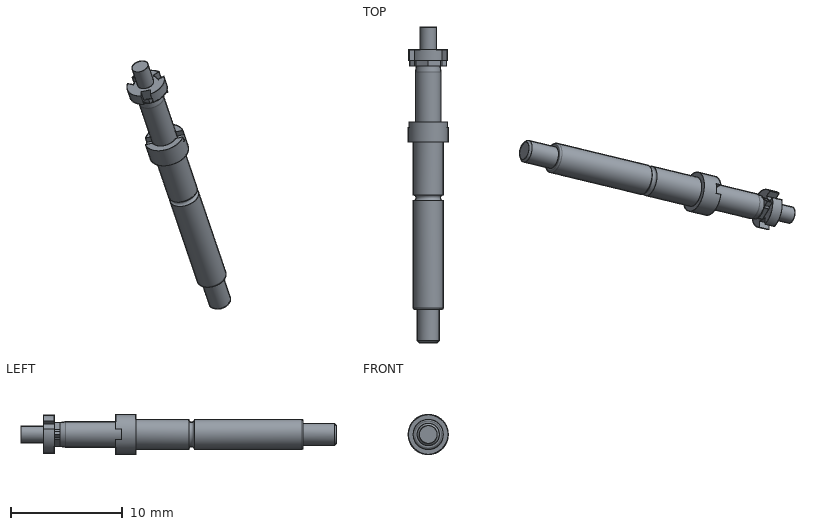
import cadquery as cq
import math

total_length = 28.3
thin_end_station = 2.0
disc_end_station = 3.0
head_end_station = 3.5
neck_end_station = 4.0
collar_start_station = 8.5
collar_end_station = 10.3
groove_middle_station = 15.3
barrel_end_station = 25.3

thin_end_radius = 0.75
disc_radius = 1.75
neck_radius = 1.08
shank_radius = 1.15
collar_radius = 1.8
barrel_radius = 1.35
tip_radius = 1.0

groove_round = 0.25
barrel_fillet = 0.15
tip_chamfer = 0.2

notch_angles = (30, 150, 270)
notch_width = 0.87
notch_floor_radius = 1.09

flat_slope = math.tan(math.radians(30))
step_slope = math.tan(math.radians(60))
head_half_height = 1.09
flat_end_x = 1.1
wing_tip_x = 1.66

collar_slot_width = 0.94
collar_slot_depth = 0.5


def y_at(station):
    """Y of a station, with the part centred on the origin."""
    return total_length / 2 - station


def xz_plane(station):
    """Sketch plane at a station: local x is X, local y is Z, extrusion runs to -Y."""
    return cq.Workplane("XZ", origin=(0, y_at(station), 0))


def cylinder(start_station, end_station, radius):
    return xz_plane(start_station).circle(radius).extrude(end_station - start_station)


def make_notched_disc():
    thickness = disc_end_station - thin_end_station
    disc = cylinder(thin_end_station, disc_end_station, disc_radius)
    for angle in notch_angles:
        notch = (
            xz_plane(thin_end_station)
            .center(notch_floor_radius + disc_radius / 2, 0)
            .rect(disc_radius, notch_width)
            .extrude(thickness)
            .rotate((0, 0, 0), (0, 1, 0), -angle)
        )
        disc = disc.cut(notch)
    return disc


def make_winged_head():
    flat_end_z = head_half_height - flat_end_x * flat_slope
    step_height_at_axis = flat_end_z + step_slope * flat_end_x
    wing_height_at_axis = flat_slope * wing_tip_x
    step_end_x = (step_height_at_axis - wing_height_at_axis) / (step_slope - flat_slope)
    step_end_z = (wing_tip_x - step_end_x) * flat_slope
    quarter = [
        (wing_tip_x, 0),
        (step_end_x, step_end_z),
        (flat_end_x, flat_end_z),
        (0, head_half_height),
    ]
    upper_left = [(-x, z) for x, z in quarter[-2::-1]]
    lower_half = [(-x, -z) for x, z in (quarter + upper_left)[1:-1]]
    return (
        xz_plane(disc_end_station)
        .polyline(quarter + upper_left + lower_half)
        .close()
        .extrude(head_end_station - disc_end_station)
    )


def make_neck():
    """Slight taper from the winged head to the shank."""
    return (
        xz_plane(head_end_station)
        .circle(neck_radius)
        .workplane(offset=neck_end_station - head_end_station)
        .circle(shank_radius)
        .loft()
    )


def make_slotted_collar():
    collar = cylinder(collar_start_station, collar_end_station, collar_radius)
    slot = (
        xz_plane(collar_start_station)
        .rect(2 * collar_radius, collar_slot_width)
        .extrude(collar_slot_depth)
    )
    return collar.cut(slot)


def make_grooved_barrel():
    """Barrel with a rounded end and a half-round groove."""
    barrel = cylinder(collar_end_station, barrel_end_station, barrel_radius)
    barrel = barrel.faces("<Y").edges().fillet(barrel_fillet)
    groove = (
        cq.Workplane("XY")
        .center(barrel_radius, y_at(groove_middle_station))
        .circle(groove_round)
        .revolve(360, (-barrel_radius, 0, 0), (-barrel_radius, 1, 0))
    )
    return barrel.cut(groove)


thin_end = cylinder(0, thin_end_station, thin_end_radius)
shank = cylinder(neck_end_station, collar_end_station, shank_radius)
tip = cylinder(barrel_end_station, total_length, tip_radius).faces("<Y").chamfer(tip_chamfer)

result = (
    thin_end.union(make_notched_disc())
    .union(make_winged_head())
    .union(make_neck())
    .union(shank)
    .union(make_slotted_collar())
    .union(make_grooved_barrel())
    .union(tip)
)